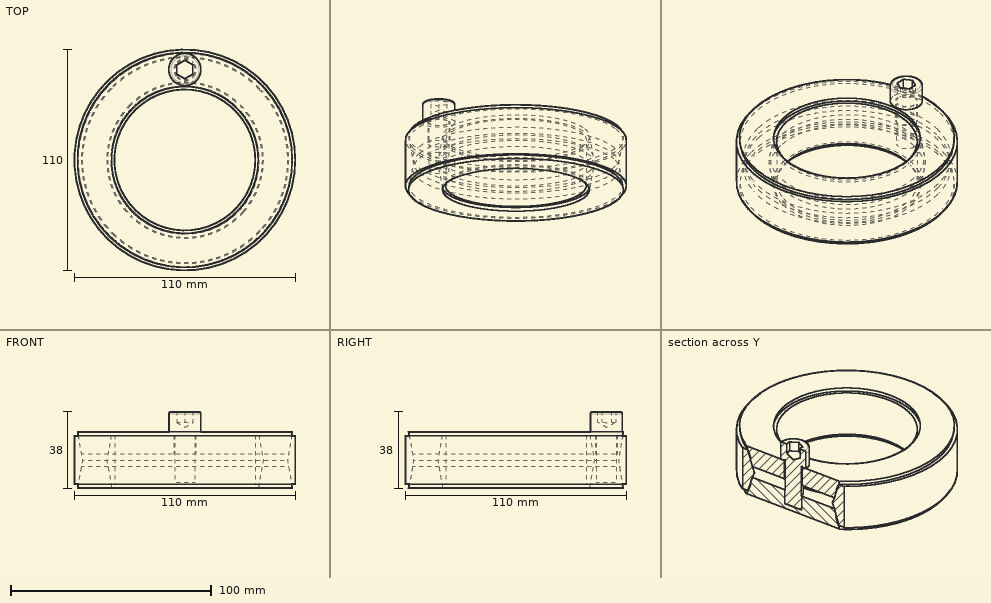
import cadquery as cq
import math


bore_diameter = 70.0
outer_diameter = 110.0
assembly_width = 28.0
sleeve_width = 24.0
wedge_face_clearance = 1.5
taper_angle = 10.0
wedge_gap = 6.0

shank_diameter = 10.0
shank_length = 25.0
clearance_diameter = 11.0
head_diameter = 16.0
head_height = 10.0
head_fillet = 1.0
socket_width = 8.0
socket_depth = 5.0
socket_tip_half_angle = 60.0

bore_radius = bore_diameter / 2
outer_radius = outer_diameter / 2
screw_circle_radius = (bore_radius + outer_radius) / 2
mid_height = assembly_width / 2
wedge_overhang = (assembly_width - sleeve_width) / 2
sleeve_bottom = wedge_overhang
sleeve_top = assembly_width - wedge_overhang
wedge_height = (assembly_width - wedge_gap) / 2
wedge_inner_radius = bore_radius + wedge_face_clearance
wedge_outer_radius = outer_radius - wedge_face_clearance
screw_tip_height = assembly_width - shank_length


def taper_shift(depth):
    """Radial narrowing of a wedge side at a depth below the wedge's outer face."""
    return depth * math.tan(math.radians(taper_angle))


def revolve_profile(points):
    """Turn a closed (radius, height) outline about the Z axis."""
    return cq.Workplane("XZ").polyline(points).close().revolve(360, (0, 0), (0, 1))


def make_outer_sleeve():
    """Plain cylinder outside, two cones meeting at mid height inside."""
    end_radius = wedge_outer_radius - taper_shift(wedge_overhang)
    ridge_radius = wedge_outer_radius - taper_shift(mid_height)
    return revolve_profile([
        (outer_radius, sleeve_bottom),
        (outer_radius, sleeve_top),
        (end_radius, sleeve_top),
        (ridge_radius, mid_height),
        (end_radius, sleeve_bottom),
    ])


def make_inner_sleeve():
    """Plain bore inside, two cones meeting at mid height outside."""
    end_radius = wedge_inner_radius + taper_shift(wedge_overhang)
    ridge_radius = wedge_inner_radius + taper_shift(mid_height)
    return revolve_profile([
        (bore_radius, sleeve_bottom),
        (end_radius, sleeve_bottom),
        (ridge_radius, mid_height),
        (end_radius, sleeve_top),
        (bore_radius, sleeve_top),
    ])


def make_wedge_blank(face_height, inner_end_height):
    """Ring that tapers from its outer face towards its inner end."""
    narrowing = taper_shift(wedge_height)
    return revolve_profile([
        (wedge_inner_radius, face_height),
        (wedge_outer_radius, face_height),
        (wedge_outer_radius - narrowing, inner_end_height),
        (wedge_inner_radius + narrowing, inner_end_height),
    ])


def screw_cylinder(diameter, bottom, height):
    """Upright cylinder on the screw axis."""
    return (
        cq.Workplane("XY", origin=(0, screw_circle_radius, bottom))
        .circle(diameter / 2)
        .extrude(height)
    )


def make_front_wedge():
    """Upper wedge ring with a clearance hole for the screw."""
    blank = make_wedge_blank(assembly_width, assembly_width - wedge_height)
    return blank.cut(screw_cylinder(clearance_diameter, 0, assembly_width))


def make_rear_wedge():
    """Lower wedge ring with a blind hole that holds the screw end."""
    blank = make_wedge_blank(0, wedge_height)
    return blank.cut(screw_cylinder(shank_diameter, screw_tip_height, wedge_height))


def socket_prism(corner_radius, bottom, height):
    """Upright hexagonal prism on the screw axis, with two corners along Y."""
    return (
        cq.Workplane("XY", origin=(0, screw_circle_radius, bottom))
        .transformed(rotate=(0, 0, 90))
        .polygon(6, 2 * corner_radius)
        .extrude(height)
    )


def make_socket():
    """Hexagonal recess ending in a drill cone that passes through the hexagon corners."""
    corner_radius = socket_width / 2 / math.cos(math.radians(30))
    tip_depth = corner_radius / math.tan(math.radians(socket_tip_half_angle))
    floor_height = assembly_width + head_height - socket_depth
    tip_height = floor_height - tip_depth
    tip_point = cq.Vector(0, screw_circle_radius, tip_height)
    cone = cq.Workplane(cq.Solid.makeCone(0, corner_radius, tip_depth, pnt=tip_point))
    tip = cone.intersect(socket_prism(corner_radius, tip_height, tip_depth))
    return socket_prism(corner_radius, floor_height, socket_depth).union(tip)


def make_screw():
    """Socket head cap screw seated on the front wedge ring."""
    head = screw_cylinder(head_diameter, assembly_width, head_height)
    head = head.faces(">Z").edges().fillet(head_fillet)
    shank = screw_cylinder(shank_diameter, screw_tip_height, shank_length)
    return head.union(shank).cut(make_socket())


outer_sleeve = make_outer_sleeve()
inner_sleeve = make_inner_sleeve()
front_wedge = make_front_wedge()
rear_wedge = make_rear_wedge()
screw = make_screw()

result = cq.Compound.makeCompound([
    outer_sleeve.solids().val(),
    inner_sleeve.solids().val(),
    front_wedge.solids().val(),
    rear_wedge.solids().val(),
    screw.solids().val(),
])